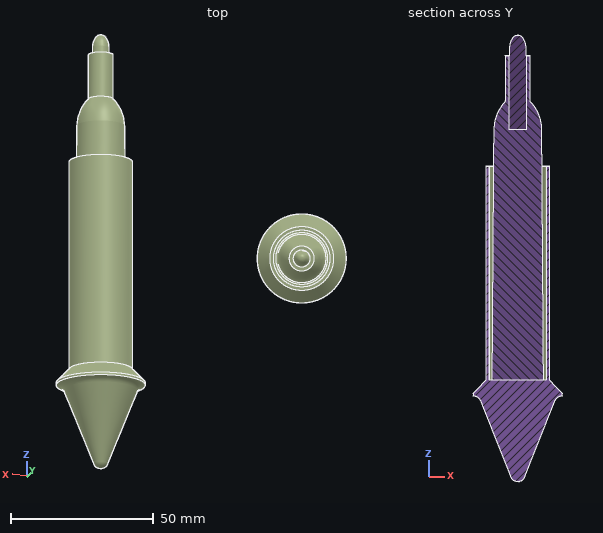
import cadquery as cq
import math

tip_end_z = 2.2
cone_top_z = 28.3
rim_bottom_z = 30.2
rim_top_z = 31.1
flange_top_z = 35.8
sleeve_top_z = 111.1
shoulder_base_z = 124.0
neck_base_z = 133.9
neck_top_z = 150.0
nib_dome_z = 152.5
overall_length = 157.2

tip_radius = 2.7
cone_radius = 13.0
flange_radius = 31.5 / 2
sleeve_radius = 22.5 / 2
bore_radius = 20.0 / 2

barrel_base_radius = 9.1
shoulder_radius = 8.5
neck_radius = 8.8 / 2
nib_radius = 6.0 / 2

bore_floor_z = flange_top_z
nib_seat_z = shoulder_base_z


def revolve_profile(profile):
    """Turn a closed (radius, height) outline around the Z axis."""
    return profile.close().revolve(360, (0, 0, 0), (0, 1, 0))


def make_holder():
    """Tubular sleeve with a flange, flared out of a solid cone with a rounded tip."""
    cap_radius = (tip_radius**2 + tip_end_z**2) / (2 * tip_end_z)
    half_angle = math.asin(tip_radius / cap_radius) / 2
    cap_middle = (cap_radius * math.sin(half_angle), cap_radius * (1 - math.cos(half_angle)))
    profile = (
        cq.Workplane("XZ")
        .moveTo(0, 0)
        .threePointArc(cap_middle, (tip_radius, tip_end_z))
        .lineTo(cone_radius, cone_top_z)
        .tangentArcPoint((flange_radius, rim_bottom_z), relative=False)
        .lineTo(flange_radius, rim_top_z)
        .lineTo(sleeve_radius, flange_top_z)
        .lineTo(sleeve_radius, sleeve_top_z)
        .lineTo(bore_radius, sleeve_top_z)
        .lineTo(bore_radius, bore_floor_z)
        .lineTo(0, bore_floor_z)
    )
    return revolve_profile(profile)


def make_barrel():
    """Tapered barrel standing on the bore floor, with a round shoulder and a bored neck."""
    inset = shoulder_radius - neck_radius
    rise = neck_base_z - shoulder_base_z
    arc_radius = (inset**2 + rise**2) / (2 * inset)
    half_angle = math.asin(rise / arc_radius) / 2
    shoulder_middle = (
        shoulder_radius - arc_radius * (1 - math.cos(half_angle)),
        shoulder_base_z + arc_radius * math.sin(half_angle),
    )
    profile = (
        cq.Workplane("XZ")
        .moveTo(0, bore_floor_z)
        .lineTo(barrel_base_radius, bore_floor_z)
        .lineTo(shoulder_radius, shoulder_base_z)
        .threePointArc(shoulder_middle, (neck_radius, neck_base_z))
        .lineTo(neck_radius, neck_top_z)
        .lineTo(nib_radius, neck_top_z)
        .lineTo(nib_radius, nib_seat_z)
        .lineTo(0, nib_seat_z)
    )
    return revolve_profile(profile)


def make_nib():
    """Round rod seated in the neck, ending in a half-ellipsoid dome."""
    dome_height = overall_length - nib_dome_z
    dome_middle = (nib_radius * math.sqrt(0.5), nib_dome_z + dome_height * math.sqrt(0.5))
    upward = (0, 1)
    inward = (-1, 0)
    profile = (
        cq.Workplane("XZ")
        .moveTo(0, nib_seat_z)
        .lineTo(nib_radius, nib_seat_z)
        .lineTo(nib_radius, nib_dome_z)
        .spline([dome_middle, (0, overall_length)], tangents=[upward, inward], includeCurrent=True)
    )
    return revolve_profile(profile)


holder = make_holder()
barrel = make_barrel()
nib = make_nib()

result = cq.Compound.makeCompound([holder.val(), barrel.val(), nib.val()])